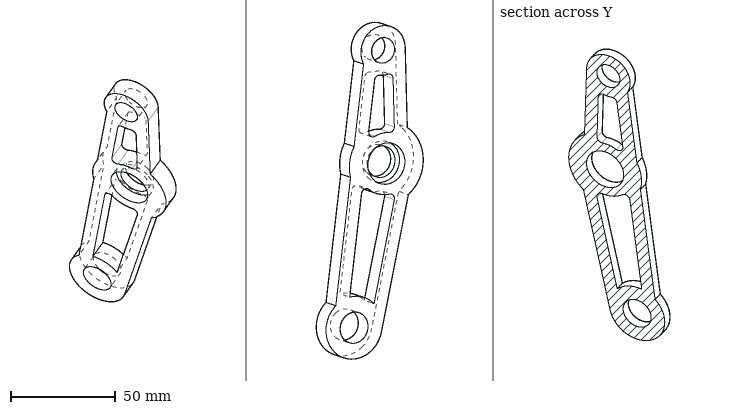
import cadquery as cq
import math

thickness = 10.0
pivot = (0, 0)
top_eye = (-1.8, 55.0)
bottom_eye = (-17.5, -78.1)

boss_radius = 20.0
top_radius = 12.0
bottom_radius = 15.2

pivot_bore = 15.2
counterbore = 20.0
counterbore_depth = 5.5
top_bore = 12.4
bottom_bore = 15.0

left_edge_x = -18.8
left_edge_slope = 0.13
upper_right_root = (11.9, 0)
lower_right_root = (15.5, 0)

wall = 7.0
pivot_rim_radius = 15.0
window_fillet = 2.4


def back_plane():
    """Sketch plane on the +Y face, extruding toward -Y."""
    return cq.Workplane("XZ", origin=(0, thickness / 2, 0))


def disc(center, radius):
    return back_plane().center(*center).circle(radius).extrude(thickness)


def left_edge(z):
    return (left_edge_x + left_edge_slope * z, z)


def right_tangent(root, center, radius):
    """Point where the line from root touches the right side of a circle."""
    dx = root[0] - center[0]
    dz = root[1] - center[1]
    side = math.copysign(1, center[1] - root[1])
    angle = math.atan2(dz, dx) + side * math.acos(radius / math.hypot(dx, dz))
    return (center[0] + radius * math.cos(angle), center[1] + radius * math.sin(angle))


def arm_outline(right_root, eye, eye_radius):
    corners = [left_edge(0), left_edge(eye[1]), right_tangent(right_root, eye, eye_radius), right_root]
    return back_plane().polyline(corners).close()


def window(right_root, eye, eye_radius):
    """Arm outline inset by the wall and ended by arcs around the pivot and the eye."""
    inset = arm_outline(right_root, eye, eye_radius).offset2D(-wall).extrude(thickness)
    return inset.cut(disc(pivot, pivot_rim_radius)).cut(disc(eye, eye_radius))


upper_arm = (upper_right_root, top_eye, top_radius)
lower_arm = (lower_right_root, bottom_eye, bottom_radius)

body = arm_outline(*upper_arm).extrude(thickness)
body = body.union(arm_outline(*lower_arm).extrude(thickness))
body = body.union(disc(pivot, boss_radius))
body = body.union(disc(top_eye, top_radius))
body = body.union(disc(bottom_eye, bottom_radius))

upper_window = window(*upper_arm).edges("|Y").fillet(window_fillet)
lower_window = window(*lower_arm)
near_pivot = cq.selectors.BoxSelector(
    (-boss_radius, -thickness, -boss_radius), (boss_radius, thickness, 0)
)
lower_window = lower_window.edges("|Y").edges(near_pivot).fillet(window_fillet)
body = body.cut(upper_window).cut(lower_window)

for center, diameter in [(pivot, pivot_bore), (top_eye, top_bore), (bottom_eye, bottom_bore)]:
    body = body.cut(disc(center, diameter / 2))

seat = cq.Workplane("XZ", origin=(0, -thickness / 2, 0)).circle(counterbore / 2).extrude(-counterbore_depth)
result = body.cut(seat)